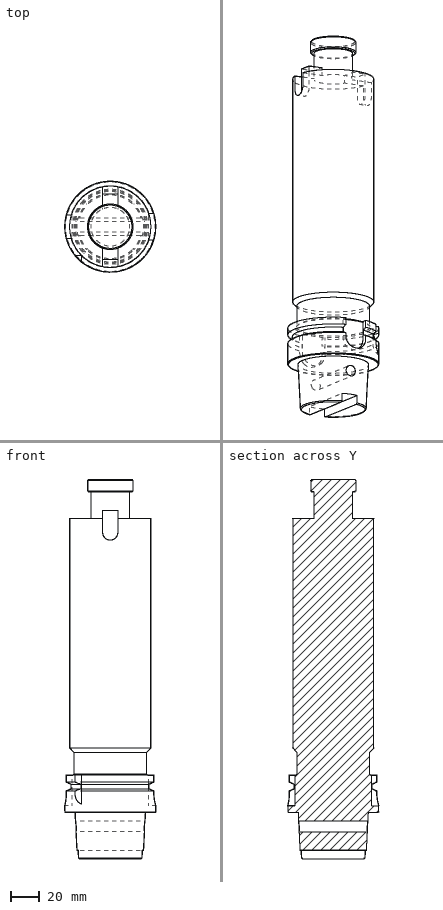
import cadquery as cq
import math

total_length = 262.0
flange_bottom = 32.0
flange_top = 58.0
groove_middle = 50.0
neck_top = 73.6
body_top = 235.0
collar_bottom = 253.5

flange_radius = 31.5
body_radius = 28.0
neck_radius = 25.2
taper_large_radius = 24.5
spigot_radius = 13.4
collar_radius = 15.7

end_chamfer = 0.8
flange_chamfer = 0.5
neck_flare = 0.8

taper_ratio = 1 / 20
taper_small_radius = taper_large_radius - taper_ratio * flange_bottom

groove_floor_radius = 28.3
groove_floor_width = 3.1
groove_mouth_width = 6.0

flange_slot_depth = 21.0
flange_slot_floor = 26.5
left_slot_width = 16.0
right_slot_width = 18.0

notch_corner = 20.0
notch_radius = 8.5
notch_depth = flange_slot_depth

shank_slot_width = 12.0
shank_slot_height = 6.0
cross_hole_diameter = 7.3
cross_hole_height = 22.5

key_width = 10.5
key_rise = 5.5
key_seat_bottom = 220.0
key_outer_reach = 22.5


def turned_blank():
    """Solid of revolution carrying all the diameters."""
    body_chamfer = body_radius - neck_radius
    half_mouth = groove_mouth_width / 2
    half_floor = groove_floor_width / 2
    profile = [
        (0, 0),
        (taper_small_radius - end_chamfer, 0),
        (taper_small_radius, end_chamfer),
        (taper_large_radius, flange_bottom),
        (flange_radius - flange_chamfer, flange_bottom),
        (flange_radius, flange_bottom + flange_chamfer),
        (flange_radius, groove_middle - half_mouth),
        (groove_floor_radius, groove_middle - half_floor),
        (groove_floor_radius, groove_middle + half_floor),
        (flange_radius, groove_middle + half_mouth),
        (flange_radius, flange_top),
        (neck_radius + neck_flare, flange_top),
        (neck_radius, flange_top + neck_flare),
        (neck_radius, neck_top),
        (body_radius, neck_top + body_chamfer),
        (body_radius, body_top),
        (spigot_radius, body_top),
        (spigot_radius, collar_bottom),
        (collar_radius - end_chamfer, collar_bottom),
        (collar_radius, collar_bottom + end_chamfer),
        (collar_radius, total_length - end_chamfer),
        (collar_radius - end_chamfer, total_length),
        (0, total_length),
    ]
    return cq.Workplane("XZ").polyline(profile).close().revolve(360, (0, 0, 0), (0, 1, 0))


def round_bottom_slot(plane, width, bottom, top, start, depth):
    """U-shaped prism along the plane normal, with a half-round lower end."""
    radius = width / 2
    return (
        cq.Workplane(plane)
        .workplane(offset=start)
        .moveTo(-radius, top)
        .lineTo(-radius, bottom + radius)
        .threePointArc((0, bottom), (radius, bottom + radius))
        .lineTo(radius, top)
        .close()
        .extrude(depth)
    )


def flange_slot(side, width):
    """Drive slot cut into the flange on the -X (side -1) or +X (side 1) face."""
    return round_bottom_slot(
        "YZ", width, flange_top - flange_slot_depth, flange_top,
        side * flange_slot_floor, side * (flange_radius - flange_slot_floor),
    )


def orientation_notch():
    """Corner notch in the flange rim whose -Y wall runs out along a quarter round."""
    bottom = flange_top - notch_depth
    arc_centre = bottom + notch_radius
    diagonal = notch_radius * math.sqrt(0.5)
    outer = notch_corner + notch_radius
    return (
        cq.Workplane("YZ")
        .workplane(offset=-notch_corner)
        .moveTo(-notch_corner, flange_top)
        .lineTo(-notch_corner, arc_centre)
        .threePointArc((-outer + diagonal, arc_centre - diagonal), (-outer, bottom))
        .lineTo(-outer, flange_top)
        .close()
        .extrude(notch_corner - flange_radius)
    )


def key_seat(side):
    """Slot in the body wall that also trims the end of a driving key."""
    return round_bottom_slot(
        "XZ", key_width, key_seat_bottom, body_top + key_rise,
        side * key_outer_reach, side * (body_radius - key_outer_reach),
    )


def driving_keys():
    """Bar across the upper face; the spigot fills its middle and the seats trim its ends."""
    return (
        cq.Workplane("XY")
        .workplane(offset=body_top)
        .rect(key_width, 2 * body_radius)
        .extrude(key_rise)
    )


shank_slot = (
    cq.Workplane("XY")
    .rect(2 * flange_radius, shank_slot_width)
    .extrude(shank_slot_height)
)
cross_hole = (
    cq.Workplane("YZ")
    .center(0, cross_hole_height)
    .circle(cross_hole_diameter / 2)
    .extrude(flange_radius, both=True)
)

result = turned_blank().union(driving_keys())
result = result.cut(shank_slot).cut(cross_hole)
result = result.cut(flange_slot(-1, left_slot_width))
result = result.cut(flange_slot(1, right_slot_width))
result = result.cut(orientation_notch())
for side in (-1, 1):
    result = result.cut(key_seat(side))